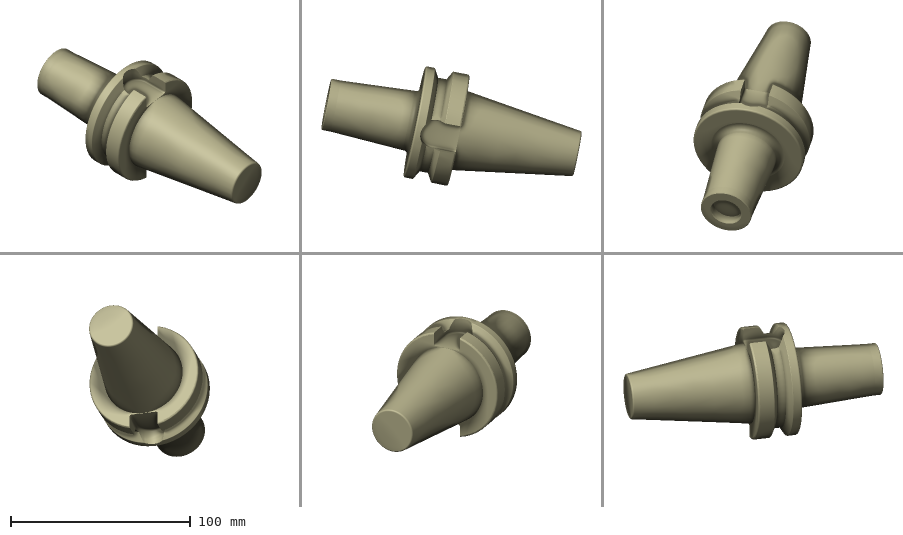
import cadquery as cq
import math

NOSE_LENGTH = 77.0
FLANGE_GAP = 2.0
FLANGE_THICKNESS = 25.0
TAPER_LENGTH = 65.4

GAUGE_DIAMETER = 44.45
TAPER_RATIO = 7 / 24
TAPER_END_RADIUS = 1.0

TIP_DIAMETER = 29.0
TIP_LENGTH = 5.0
TIP_CHAMFER = 0.4
NECK_DIAMETER = 33.7
NECK_LENGTH = 3.7
NECK_FILLET = 3.0
RELIEF_DIAMETER = 42.0
RELIEF_ANGLE = 8.0

BORE_DIAMETER = 17.0
BORE_DEPTH = 5.5
BORE_CHAMFER = 0.4

FLANGE_DIAMETER = 63.0
FLANGE_EDGE_RADIUS = 1.0
GROOVE_CENTRE = 16.5
GROOVE_FLOOR_DIAMETER = 53.0
GROOVE_FLOOR_WIDTH = 4.7
GROOVE_FLANK_ANGLE = 30.0
GROOVE_EDGE_RADIUS = 0.5

SLOT_WIDTH = 16.1
SLOT_FLOOR_HEIGHT = 22.6
SLOT_LENGTH = 21.6
SLOT_FLOOR_FILLET = 1.0
SLOT_RUN_OUT = 2.0

tip_x = -NOSE_LENGTH
flange_rear_x = -FLANGE_GAP
flange_front_x = flange_rear_x - FLANGE_THICKNESS
flange_radius = FLANGE_DIAMETER / 2
tip_radius = TIP_DIAMETER / 2
neck_radius = NECK_DIAMETER / 2


def taper_radius(x):
    return (GAUGE_DIAMETER - TAPER_RATIO * x) / 2


def revolve_about_x(outline):
    return outline.close().revolve(360, (0, 0, 0), (1, 0, 0))


def ring_edge(body, x, radius):
    """The circular edge around the X axis at the given station and radius."""
    tolerance = 0.01

    def matches(edge):
        return abs(edge.Center().x - x) < tolerance and abs(edge.radius() - radius) < tolerance

    return body.edges("%CIRCLE").filter(matches)


def nose_outline():
    """Chamfered tip cylinder followed by the nose cone."""
    return cq.Workplane("XY").polyline([
        (tip_x, 0),
        (tip_x, tip_radius - TIP_CHAMFER),
        (tip_x + TIP_CHAMFER, tip_radius),
        (tip_x + TIP_LENGTH, tip_radius),
        (flange_front_x - NECK_LENGTH, neck_radius),
    ])


def add_neck(outline):
    """Straight neck, fillet past the flange face and the relief slope back up to the face."""
    relief_radius = RELIEF_DIAMETER / 2
    slope = math.radians(RELIEF_ANGLE)
    slope_start_radius = neck_radius + NECK_FILLET * (1 + math.sin(slope))
    slope_start_x = flange_front_x + (relief_radius - slope_start_radius) * math.tan(slope)
    centre_x = slope_start_x - NECK_FILLET * math.cos(slope)
    centre_radius = neck_radius + NECK_FILLET
    diagonal = NECK_FILLET * math.sqrt(0.5)
    outline = outline.lineTo(centre_x, neck_radius)
    outline = outline.threePointArc(
        (centre_x + diagonal, centre_radius - diagonal), (slope_start_x, slope_start_radius))
    return outline.lineTo(flange_front_x, relief_radius)


def make_turned_body():
    outline = add_neck(nose_outline())
    outline = outline.lineTo(flange_front_x, flange_radius).lineTo(flange_rear_x, flange_radius)
    outline = outline.lineTo(flange_rear_x, taper_radius(flange_rear_x))
    outline = outline.lineTo(TAPER_LENGTH, taper_radius(TAPER_LENGTH)).lineTo(TAPER_LENGTH, 0)
    body = revolve_about_x(outline)
    for face_x in (flange_front_x, flange_rear_x):
        body = ring_edge(body, face_x, flange_radius).fillet(FLANGE_EDGE_RADIUS)
    return body.faces(">X").edges().fillet(TAPER_END_RADIUS)


def cut_groove(body):
    floor_radius = GROOVE_FLOOR_DIAMETER / 2
    flank_run = (flange_radius - floor_radius) * math.tan(math.radians(GROOVE_FLANK_ANGLE))
    half_floor = GROOVE_FLOOR_WIDTH / 2
    half_mouth = half_floor + flank_run
    groove = revolve_about_x(cq.Workplane("XY").polyline([
        (-GROOVE_CENTRE - half_floor, floor_radius),
        (-GROOVE_CENTRE + half_floor, floor_radius),
        (-GROOVE_CENTRE + half_mouth, flange_radius),
        (-GROOVE_CENTRE - half_mouth, flange_radius),
    ]))
    body = body.cut(groove)
    for side in (-1, 1):
        mouth_x = -GROOVE_CENTRE + side * half_mouth
        body = ring_edge(body, mouth_x, flange_radius).fillet(GROOVE_EDGE_RADIUS)
    return body


def cut_bore(body):
    radius = BORE_DIAMETER / 2
    bore = revolve_about_x(cq.Workplane("XY").polyline([
        (tip_x, 0),
        (tip_x, radius + BORE_CHAMFER),
        (tip_x + BORE_CHAMFER, radius),
        (tip_x + BORE_DEPTH, radius),
        (tip_x + BORE_DEPTH, 0),
    ]))
    return body.cut(bore)


def make_slot_cutter():
    """Round-ended slot, open to the rear, with rounded floor edges."""
    half_width = SLOT_WIDTH / 2
    round_end_x = flange_rear_x - SLOT_LENGTH
    round_centre_x = round_end_x + half_width
    run_out_x = flange_rear_x + SLOT_RUN_OUT
    cutter = (
        cq.Workplane("XY", origin=(0, 0, SLOT_FLOOR_HEIGHT))
        .moveTo(run_out_x, -half_width)
        .lineTo(round_centre_x, -half_width)
        .threePointArc((round_end_x, 0), (round_centre_x, half_width))
        .lineTo(run_out_x, half_width)
        .close()
        .extrude(flange_radius - SLOT_FLOOR_HEIGHT)
    )
    return cutter.edges("<Z").edges("not >X").fillet(SLOT_FLOOR_FILLET)


def cut_drive_slots(body):
    cutter = make_slot_cutter()
    for angle in (0, 180):
        body = body.cut(cutter.rotate((0, 0, 0), (1, 0, 0), angle))
    return body


turned_body = make_turned_body()
grooved_body = cut_groove(turned_body)
bored_body = cut_bore(grooved_body)
result = cut_drive_slots(bored_body)